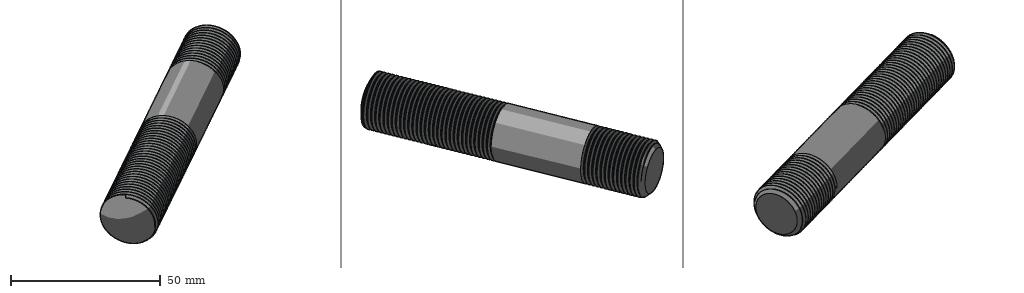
import cadquery as cq
import math

length = 105.0
diameter = 20.0
radius = diameter / 2
tip_radius = diameter
end_chamfer = 2.0

ten_turns = 15.0
pitch = ten_turns / 10
groove_depth = 0.9
crest_width = pitch / 8
flank_slope = math.tan(math.radians(30))
cutter_overlap = 0.05
max_section_turns = 9

short_thread_start = 29.8
short_start_angle = 180
short_thread_turns = 16.1
long_thread_start = -2.7
long_start_angle = 120
long_thread_turns = 31.6


def stud_blank():
    """Plain cylinder with a spherical tip and a chamfered end."""
    half_length = length / 2
    tip_center = tip_radius - half_length
    rim_y = tip_center - math.sqrt(tip_radius**2 - radius**2)
    mid_x = radius / 2
    mid_y = tip_center - math.sqrt(tip_radius**2 - mid_x**2)
    profile = (
        cq.Workplane("XY")
        .moveTo(0, -half_length)
        .threePointArc((mid_x, mid_y), (radius, rim_y))
        .lineTo(radius, half_length - end_chamfer)
        .lineTo(radius - end_chamfer, half_length)
        .lineTo(0, half_length)
        .close()
    )
    return profile.revolve(360, (0, 0, 0), (0, 1, 0))


def thread_cutter(turns):
    """Helical groove cutter climbing +Z, starting at +X on the plane Z = 0."""
    root_x = radius - groove_depth
    mouth_x = radius + cutter_overlap
    surface_half = (pitch - crest_width) / 2
    root_half = surface_half - groove_depth * flank_slope
    mouth_half = surface_half + cutter_overlap * flank_slope
    section = (
        cq.Workplane("XZ")
        .moveTo(root_x, -root_half)
        .lineTo(mouth_x, -mouth_half)
        .lineTo(mouth_x, mouth_half)
        .lineTo(root_x, root_half)
        .close()
    )
    helix = cq.Workplane(obj=cq.Wire.makeHelix(pitch, turns * pitch, radius))
    return section.sweep(helix, isFrenet=True)


def cut_thread(body, turns, direction, start_angle, start_y):
    """Cut a groove along Y (direction +1 or -1) as equal lengths joined end to end."""
    section_count = math.ceil(turns / max_section_turns)
    section_turns = turns / section_count
    for index in range(section_count):
        turns_done = index * section_turns
        cutter = (
            thread_cutter(section_turns)
            .rotate((0, 0, 0), (1, 0, 0), -90 * direction)
            .rotate((0, 0, 0), (0, 1, 0), start_angle + direction * 360 * turns_done)
            .translate((0, start_y + direction * pitch * turns_done, 0))
        )
        body = body.cut(cutter)
    return body


stud = stud_blank()
stud = cut_thread(stud, long_thread_turns, -1, long_start_angle, long_thread_start)
result = cut_thread(stud, short_thread_turns, 1, short_start_angle, short_thread_start)